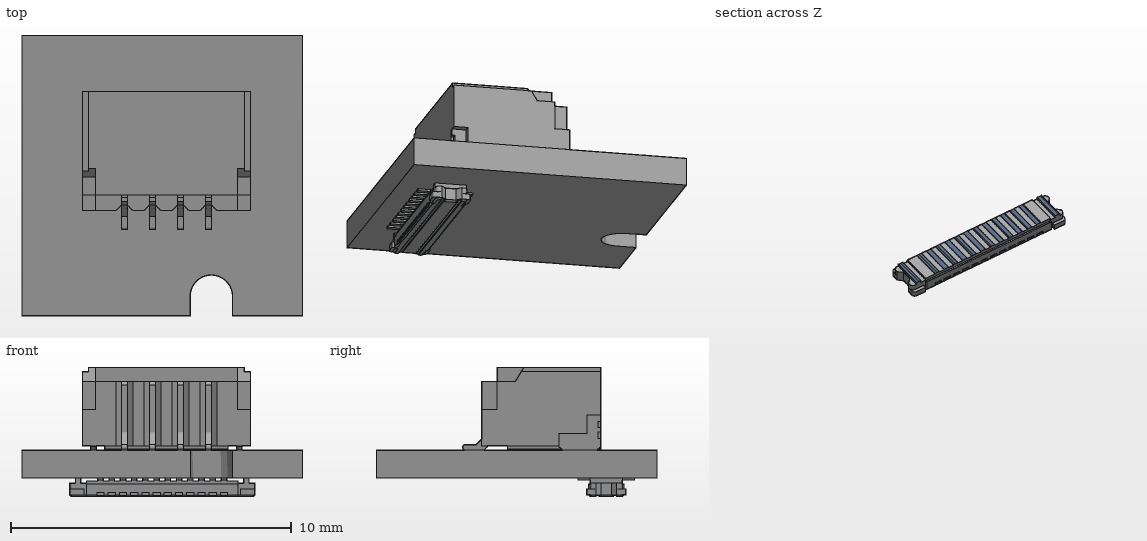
import cadquery as cq

BOARD_SIZE = 10.0
BOARD_THICKNESS = 1.0
SLOT_WIDTH = 1.5
SLOT_DEPTH = 1.45
SLOT_X = 1.75

HOUSING_X = 0.15
HOUSING_WIDTH = 6.0
HOUSING_BACK_Y = 3.0
HOUSING_FRONT_Y = -1.25
HOUSING_BOTTOM_Z = 0.15
HOUSING_TOP_Z = 2.95
HOUSING_LEFT_X = HOUSING_X - HOUSING_WIDTH / 2

LEDGE_Y = -0.7
LEDGE_Z = 2.45
CORNER_WIDTH = 0.47
CORNER_FLOOR_Z = 1.45
RAMP_TOP_Y = 0.25
RAMP_FOOT_Y = -0.05

RABBET_WIDTH = 0.22
RABBET_DEPTH = 0.15

PAD_WIDTH = 4.4
PAD_FRONT_Y = -0.33
PAD_BOTTOM_Z = 0.04

RECESS_DEPTH = 0.3
RECESS_TOP_Z = 1.25
RECESS_STEP_Z = 0.6
RECESS_STEP_Y = 2.5
RECESS_FRONT_Y = 1.5

LEG_THICKNESS = 0.2
LEG_CHAMFER = 0.13
LEG_NOTCH_DEPTH = 0.1
LEG_NOTCH_HEIGHT = 0.22
LEG_NOTCH_BOTTOMS = (0.42, 0.8)
BAR_SIZE = 0.2
BAR_Y = 2.0
BAR_Z = 0.4
LEG_OUTER_X = HOUSING_WIDTH / 2 - RECESS_DEPTH
LEG_INNER_X = LEG_OUTER_X - LEG_THICKNESS

PIN_COUNT = 4
PIN_PITCH = 1.0
PIN_WIDTH = 0.21
PIN_BACK_Y = -0.79
PIN_TIP_Y = -1.93
PIN_TOP_BEVEL = 0.13
FOOT_HEIGHT = 0.2
FOOT_HEEL_Y = -1.17
FOOT_KNEE_Y = -1.45
FOOT_ROUND = 0.095
SLOPE_BEND_RADIUS = 0.1
GROOVE_WIDTH = 0.6
GROOVE_DEPTH = 0.2
GROOVE_FLOOR_Y = HOUSING_FRONT_Y + GROOVE_DEPTH

PLUG_Y = 3.19
PLUG_LENGTH = 6.6
PLUG_WIDTH = 1.28
PLUG_BOTTOM_DROP = 0.66
PLUG_TOP_DROP = 0.17
PLUG_BOTTOM_CHAMFER = 0.07
CORE_LENGTH = 5.4
CORE_WIDTH = 1.15
CORE_TOP_DROP = 0.09
RAIL_TOP_DROP = 0.21
END_CAP_LENGTH = 0.51
END_CAP_WIDTH = 1.4
END_CAP_TOP_DROP = 0.38
END_CAP_BOTTOM_DROP = 0.59
END_CAP_ROUND = 0.12
END_CORNER_ROUND = 0.15
END_NOTCH_MOUTH = 0.72
END_NOTCH_FLOOR = 0.38
END_NOTCH_DEPTH = 0.17
END_FOOT_X = 3.0
END_FOOT_LENGTH = 0.2
PLUG_GROOVE_Y = 0.31
PLUG_GROOVE_WIDTH = 0.12
PLUG_GROOVE_DEPTH = 0.05
CONTACT_COUNT = 12
CONTACT_PITCH = 0.4
CONTACT_WIDTH = 0.2
TAIL_SPAN = 2.02
TAIL_THICKNESS = 0.07
CONTACT_POCKET_TOP_DROP = 0.5
CONTACT_POCKET_WIDTH = 0.26
CONTACT_POCKET_DEPTH = 0.03

SIDES = (-1, 1)


def box(x_range, y_range, z_range):
    """Axis-aligned block between pairs of limits."""
    size = [end - start for start, end in (x_range, y_range, z_range)]
    corner = (x_range[0], y_range[0], z_range[0])
    return cq.Workplane("XY").box(*size, centered=False).translate(corner)


def side_plate(profile, x_start, x_end):
    """Extrude a closed (Y, Z) profile along X."""
    return cq.Workplane("YZ").workplane(offset=x_start).polyline(profile).close().extrude(x_end - x_start)


def both_ends(shape, center_x):
    """A shape on the +X side, together with its mirror image about X = center_x."""
    return shape.union(shape.mirror("YZ", (center_x, 0, 0)))


def row(count, pitch, center_x):
    """X positions of an evenly spaced, centred row."""
    return [center_x + (index - (count - 1) / 2) * pitch for index in range(count)]


PIN_POSITIONS = row(PIN_COUNT, PIN_PITCH, HOUSING_X)
CONTACT_POSITIONS = row(CONTACT_COUNT, CONTACT_PITCH, 0)


def make_board():
    board = cq.Workplane("XY").box(BOARD_SIZE, BOARD_SIZE, BOARD_THICKNESS, centered=(True, True, False))
    radius = SLOT_WIDTH / 2
    edge_y = -BOARD_SIZE / 2
    straight_end_y = edge_y + SLOT_DEPTH - radius
    slot = (
        cq.Workplane("XY")
        .moveTo(SLOT_X - radius, edge_y)
        .lineTo(SLOT_X - radius, straight_end_y)
        .threePointArc((SLOT_X, edge_y + SLOT_DEPTH), (SLOT_X + radius, straight_end_y))
        .lineTo(SLOT_X + radius, edge_y)
        .close()
        .extrude(BOARD_THICKNESS)
    )
    return board.cut(slot).translate((0, 0, -BOARD_THICKNESS))


def make_pin(x):
    """Upright strip in the housing slot, running down a 45 degree slope to a solder foot."""
    heel_rise = PIN_BACK_Y - FOOT_HEEL_Y
    slope_top_z = FOOT_HEIGHT + GROOVE_FLOOR_Y - FOOT_KNEE_Y
    profile = [
        (PIN_BACK_Y, heel_rise),
        (PIN_BACK_Y, LEDGE_Z),
        (GROOVE_FLOOR_Y + PIN_TOP_BEVEL, LEDGE_Z),
        (GROOVE_FLOOR_Y, LEDGE_Z - PIN_TOP_BEVEL),
        (GROOVE_FLOOR_Y, slope_top_z),
        (FOOT_KNEE_Y, FOOT_HEIGHT),
        (PIN_TIP_Y, FOOT_HEIGHT),
        (PIN_TIP_Y, 0),
        (FOOT_HEEL_Y, 0),
    ]
    pin = side_plate(profile, x - PIN_WIDTH / 2, x + PIN_WIDTH / 2)
    pin = pin.faces("<Y").edges("|X").fillet(FOOT_ROUND)
    slope_top = cq.selectors.NearestToPointSelector((x, GROOVE_FLOOR_Y, slope_top_z))
    return pin.edges(slope_top).fillet(SLOPE_BEND_RADIUS)


def make_bracket():
    leg_profile = [
        (HOUSING_BACK_Y - LEG_CHAMFER, 0),
        (HOUSING_BACK_Y, LEG_CHAMFER),
        (HOUSING_BACK_Y, RECESS_TOP_Z),
        (RECESS_STEP_Y, RECESS_TOP_Z),
        (RECESS_STEP_Y, RECESS_STEP_Z),
        (RECESS_FRONT_Y, RECESS_STEP_Z),
        (RECESS_FRONT_Y, LEG_CHAMFER),
        (RECESS_FRONT_Y + LEG_CHAMFER, 0),
    ]
    leg = side_plate(leg_profile, HOUSING_X + LEG_INNER_X, HOUSING_X + LEG_OUTER_X)
    for bottom_z in LEG_NOTCH_BOTTOMS:
        leg = leg.cut(
            box(
                (HOUSING_X + LEG_INNER_X, HOUSING_X + LEG_OUTER_X),
                (HOUSING_BACK_Y - LEG_NOTCH_DEPTH, HOUSING_BACK_Y),
                (bottom_z, bottom_z + LEG_NOTCH_HEIGHT),
            )
        )
    bar = cq.Workplane("XY").box(2 * LEG_INNER_X, BAR_SIZE, BAR_SIZE).translate((HOUSING_X, BAR_Y, BAR_Z))
    return both_ends(leg, HOUSING_X).union(bar)


def cut_corners(housing):
    """Side rabbets, sloped shoulder pockets and notched front corners."""
    side_x = HOUSING_X + HOUSING_WIDTH / 2
    rabbet = box(
        (side_x - RABBET_WIDTH, side_x),
        (LEDGE_Y, HOUSING_BACK_Y),
        (HOUSING_TOP_Z - RABBET_DEPTH, HOUSING_TOP_Z),
    )
    shoulder_profile = [
        (RAMP_TOP_Y, HOUSING_TOP_Z),
        (RAMP_FOOT_Y, LEDGE_Z),
        (LEDGE_Y, LEDGE_Z),
        (LEDGE_Y, HOUSING_TOP_Z),
    ]
    shoulder = side_plate(shoulder_profile, side_x - CORNER_WIDTH, side_x)
    front_notch = box(
        (side_x - CORNER_WIDTH, side_x),
        (HOUSING_FRONT_Y, LEDGE_Y),
        (CORNER_FLOOR_Z, LEDGE_Z),
    )
    for cutter in (rabbet, shoulder, front_notch):
        housing = housing.cut(both_ends(cutter, HOUSING_X))
    return housing


def cut_side_recesses(housing):
    profile = [
        (HOUSING_BACK_Y, HOUSING_BOTTOM_Z),
        (HOUSING_BACK_Y, RECESS_TOP_Z),
        (RECESS_STEP_Y, RECESS_TOP_Z),
        (RECESS_STEP_Y, RECESS_STEP_Z),
        (RECESS_FRONT_Y, RECESS_STEP_Z),
        (RECESS_FRONT_Y, HOUSING_BOTTOM_Z),
    ]
    recess = side_plate(profile, HOUSING_X + LEG_INNER_X, HOUSING_X + HOUSING_WIDTH / 2)
    return housing.cut(both_ends(recess, HOUSING_X))


def cut_pin_groove(housing, x):
    """V-sided groove down the front face, with a slot for one pin."""
    outline = [
        (x - GROOVE_WIDTH / 2, HOUSING_FRONT_Y),
        (x - PIN_WIDTH / 2, GROOVE_FLOOR_Y),
        (x + PIN_WIDTH / 2, GROOVE_FLOOR_Y),
        (x + GROOVE_WIDTH / 2, HOUSING_FRONT_Y),
    ]
    groove = cq.Workplane("XY").polyline(outline).close().extrude(LEDGE_Z)
    slot = box((x - PIN_WIDTH / 2, x + PIN_WIDTH / 2), (GROOVE_FLOOR_Y, LEDGE_Y), (0, LEDGE_Z))
    return housing.cut(groove).cut(slot)


def make_housing(bracket):
    housing = box(
        (HOUSING_LEFT_X, HOUSING_LEFT_X + HOUSING_WIDTH),
        (HOUSING_FRONT_Y, HOUSING_BACK_Y),
        (HOUSING_BOTTOM_Z, HOUSING_TOP_Z),
    )
    front_step = box(
        (HOUSING_LEFT_X, HOUSING_LEFT_X + HOUSING_WIDTH),
        (HOUSING_FRONT_Y, LEDGE_Y),
        (LEDGE_Z, HOUSING_TOP_Z),
    )
    pad = box(
        (HOUSING_X - PAD_WIDTH / 2, HOUSING_X + PAD_WIDTH / 2),
        (PAD_FRONT_Y, HOUSING_BACK_Y),
        (PAD_BOTTOM_Z, HOUSING_BOTTOM_Z),
    )
    housing = cut_corners(housing.cut(front_step)).union(pad)
    housing = cut_side_recesses(housing)
    for x in PIN_POSITIONS:
        housing = cut_pin_groove(housing, x)
    return housing.cut(bracket)


def plug_block(length, width, top_drop, bottom_drop, x=0, y=0):
    """Block hung below the board, placed relative to the plug centre."""
    block = cq.Workplane("XY").box(length, width, bottom_drop - top_drop, centered=(True, True, False))
    return block.translate((x, PLUG_Y + y, -BOARD_THICKNESS - bottom_drop))


def make_plug_ends():
    """Full-length narrow body with rounded corners and a tapered notch in each end."""
    ends = plug_block(PLUG_LENGTH, CORE_WIDTH, PLUG_TOP_DROP, PLUG_BOTTOM_DROP)
    ends = ends.edges("|Z").fillet(END_CORNER_ROUND)
    end_x = PLUG_LENGTH / 2
    outline = [
        (end_x, PLUG_Y - END_NOTCH_MOUTH / 2),
        (end_x - END_NOTCH_DEPTH, PLUG_Y - END_NOTCH_FLOOR / 2),
        (end_x - END_NOTCH_DEPTH, PLUG_Y + END_NOTCH_FLOOR / 2),
        (end_x, PLUG_Y + END_NOTCH_MOUTH / 2),
    ]
    notch = cq.Workplane("XY").polyline(outline).close().extrude(PLUG_BOTTOM_DROP)
    notch = notch.translate((0, 0, -BOARD_THICKNESS - PLUG_BOTTOM_DROP))
    ends = ends.cut(both_ends(notch, 0)).faces("<Z").edges().chamfer(PLUG_BOTTOM_CHAMFER)
    cap_x = (PLUG_LENGTH - END_CAP_LENGTH) / 2
    cap = plug_block(END_CAP_LENGTH, END_CAP_WIDTH, END_CAP_TOP_DROP, END_CAP_BOTTOM_DROP, cap_x)
    cap = cap.faces(">X").edges("|Z").fillet(END_CAP_ROUND).cut(notch)
    return ends.union(both_ends(cap, 0))


def make_plug_middle():
    """Contact section: wide rails under a narrower core."""
    rails = plug_block(CORE_LENGTH, PLUG_WIDTH, RAIL_TOP_DROP, PLUG_BOTTOM_DROP)
    rails = rails.faces("<Z").edges("|X").chamfer(PLUG_BOTTOM_CHAMFER)
    return rails.union(plug_block(CORE_LENGTH, CORE_WIDTH, CORE_TOP_DROP, RAIL_TOP_DROP))


def make_plug():
    plug = make_plug_ends().union(make_plug_middle())
    groove_top_drop = PLUG_BOTTOM_DROP - PLUG_GROOVE_DEPTH
    for side in SIDES:
        groove_y = side * PLUG_GROOVE_Y
        plug = plug.cut(
            plug_block(PLUG_LENGTH, PLUG_GROOVE_WIDTH, groove_top_drop, PLUG_BOTTOM_DROP, y=groove_y)
        )
        plug = plug.union(plug_block(END_FOOT_LENGTH, CORE_WIDTH, 0, PLUG_TOP_DROP, side * END_FOOT_X))
    for x in CONTACT_POSITIONS:
        plug = plug.union(plug_block(CONTACT_WIDTH, TAIL_SPAN, 0, TAIL_THICKNESS, x))
        plug = plug.union(plug_block(CONTACT_WIDTH, CORE_WIDTH, 0, CORE_TOP_DROP, x))
        for side in SIDES:
            pocket_y = side * (PLUG_WIDTH - CONTACT_POCKET_DEPTH) / 2
            plug = plug.cut(
                plug_block(
                    CONTACT_POCKET_WIDTH,
                    CONTACT_POCKET_DEPTH,
                    CONTACT_POCKET_TOP_DROP,
                    PLUG_BOTTOM_DROP,
                    x,
                    pocket_y,
                )
            )
    return plug


board = make_board()
bracket = make_bracket()
housing = make_housing(bracket)
pins = [make_pin(x) for x in PIN_POSITIONS]
plug = make_plug()

result = cq.Compound.makeCompound(
    [board.val(), housing.val(), bracket.val(), plug.val(), *[pin.val() for pin in pins]]
)